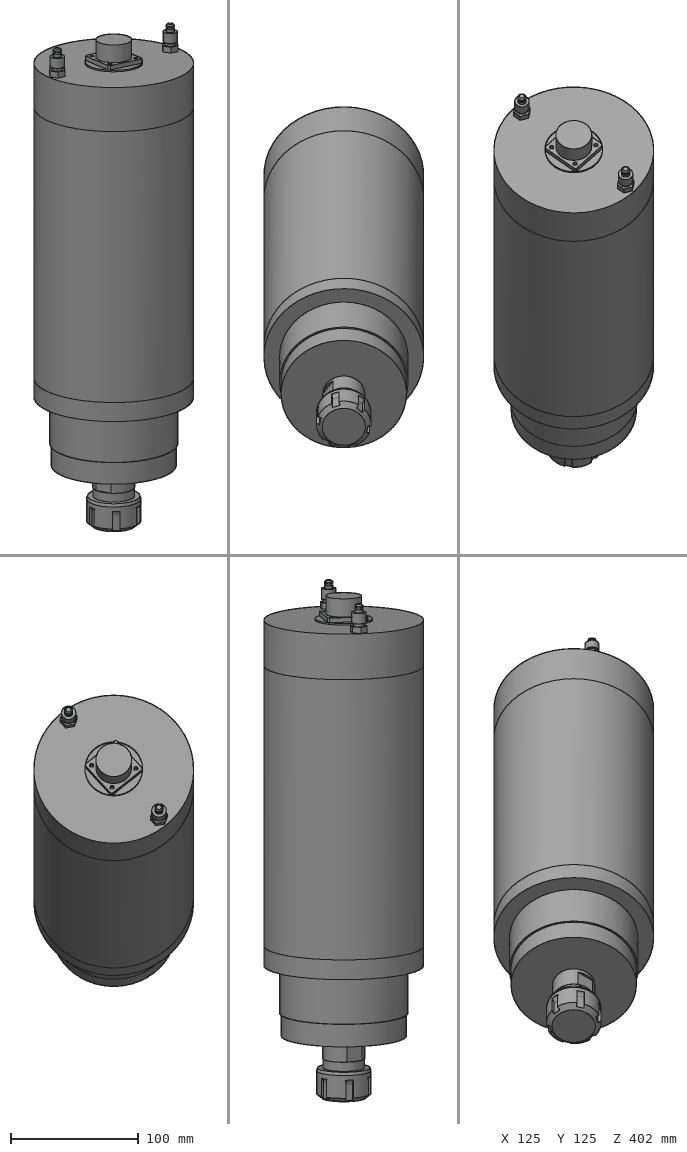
import cadquery as cq


nut_top = 24.0
collar_top = 31.5
flat_top = 46.0
nose_bottom = 49.5
nose_step = 67.5
flange_bottom = 105.5
tube_bottom = 121.0
cap_bottom = 343.7
cap_top = 380.0
overall_height = 402.0

body_radius = 125.0 / 2
nose_radius = 50.2
nose_lip_radius = 49.0

shaft_radius = 16.5
collar_step = 0.2
collar_radius = shaft_radius - collar_step
flat_distance = 15.0
shaft_turn = 22.0

nut_radius = 21.5
nut_top_radius = 20.5
nut_bottom_radius = 17.0
nut_top_bevel = 2.5
nut_bottom_bevel = 3.5
slot_count = 6
slot_width = 6.0
slot_depth = 2.6
slot_top = 18.0
slot_fillet = 3.5

disc_radius = 22.5
disc_top = cap_top + 1.2
plate_size = 32.5
plate_corner_radius = 22.0
plate_top = 384.7
plate_hole_spacing = 24.5
plate_hole_diameter = 3.0
socket_radius = 14.0
socket_top = 399.0

fitting_offset = 54.3
hex_across_corners = 13.5
hex_top = cap_top + 5.0
fitting_neck_radius = 4.5
fitting_body_bottom = cap_top + 7.2
fitting_body_top = cap_top + 15.5
fitting_body_radius = 5.5
barb_radius = 3.2
barb_groove_radius = 3.0
barb_groove_bottom = cap_top + 18.0
barb_groove_top = cap_top + 19.5
barb_bevel = 1.2


def cylinder(radius, bottom, top):
    """Solid cylinder on the Z axis between two levels."""
    return cq.Workplane("XY").workplane(offset=bottom).circle(radius).extrude(top - bottom)


def make_nose():
    """Bearing nose with a slightly smaller lip at its lower end."""
    lip = cylinder(nose_lip_radius, nose_bottom, nose_step)
    return lip.union(cylinder(nose_radius, nose_step, flange_bottom))


def make_shaft():
    """Shaft end with two opposite wrench flats just above a plain collar."""
    shaft = cylinder(shaft_radius, collar_top, nose_bottom)
    flat_length = flat_top - collar_top
    flat_cut = shaft_radius - flat_distance
    for side in (-1, 1):
        cutter = (
            cq.Workplane("XY")
            .box(2 * shaft_radius, flat_cut, flat_length, centered=(True, True, False))
            .translate((0, side * (flat_distance + flat_cut / 2), collar_top))
            .rotate((0, 0, 0), (0, 0, 1), shaft_turn)
        )
        shaft = shaft.cut(cutter)
    return shaft.union(cylinder(collar_radius, nut_top, collar_top))


def make_slot_cutter():
    """Cutter for the nut slot on the -Y side, rounded where the floor meets the top."""
    floor = nut_radius - slot_depth
    return (
        cq.Workplane("XY")
        .box(slot_width, 2 * slot_depth, slot_top, centered=(True, False, False))
        .translate((0, floor, 0))
        .edges("<Y and >Z")
        .fillet(slot_fillet)
        .rotate((0, 0, 0), (0, 0, 1), 180)
    )


def make_nut():
    """Collet nut, bevelled at both ends, with spanner slots open at the bottom."""
    profile = [
        (0, 0),
        (nut_bottom_radius, 0),
        (nut_radius, nut_bottom_bevel),
        (nut_radius, nut_top - nut_top_bevel),
        (nut_top_radius, nut_top),
        (0, nut_top),
    ]
    nut = cq.Workplane("XZ").polyline(profile).close().revolve(360, (0, 0), (0, 1))
    slot_cutter = make_slot_cutter()
    for i in range(slot_count):
        nut = nut.cut(slot_cutter.rotate((0, 0, 0), (0, 0, 1), i * 360 / slot_count))
    return nut


def make_connector():
    """Round socket on a square plate with rounded corners and a hole in each corner."""
    plate = (
        cq.Workplane("XY")
        .workplane(offset=disc_top)
        .rect(plate_size, plate_size)
        .extrude(plate_top - disc_top)
        .intersect(cylinder(plate_corner_radius, disc_top, plate_top))
        .faces(">Z")
        .workplane()
        .rect(plate_hole_spacing, plate_hole_spacing, forConstruction=True)
        .vertices()
        .hole(plate_hole_diameter)
    )
    return plate.union(cylinder(socket_radius, plate_top, socket_top))


def make_fitting():
    """Hose fitting on the Z axis: hexagon, neck, round body and grooved barb."""
    fitting = (
        cq.Workplane("XY")
        .workplane(offset=cap_top)
        .polygon(6, hex_across_corners)
        .extrude(hex_top - cap_top)
        .rotate((0, 0, 0), (0, 0, 1), 90)
    )
    barb_end = cylinder(barb_radius, barb_groove_top, overall_height).faces(">Z").chamfer(barb_bevel)
    return (
        fitting
        .union(cylinder(fitting_neck_radius, hex_top, fitting_body_bottom))
        .union(cylinder(fitting_body_radius, fitting_body_bottom, fitting_body_top))
        .union(cylinder(barb_radius, fitting_body_top, barb_groove_bottom))
        .union(cylinder(barb_groove_radius, barb_groove_bottom, barb_groove_top))
        .union(barb_end)
    )


nut = make_nut()
shaft = make_shaft()
nose = make_nose()
flange = cylinder(body_radius, flange_bottom, tube_bottom)
tube = cylinder(body_radius, tube_bottom, cap_bottom)
cap = cylinder(body_radius, cap_bottom, cap_top)
disc = cylinder(disc_radius, cap_top, disc_top)
connector = make_connector()
fittings = [make_fitting().translate((0, side * fitting_offset, 0)) for side in (-1, 1)]

result = cq.Compound.makeCompound([
    nut.val(),
    shaft.val(),
    nose.val(),
    flange.val(),
    tube.val(),
    cap.val(),
    disc.val(),
    connector.val(),
    *[fitting.val() for fitting in fittings],
])